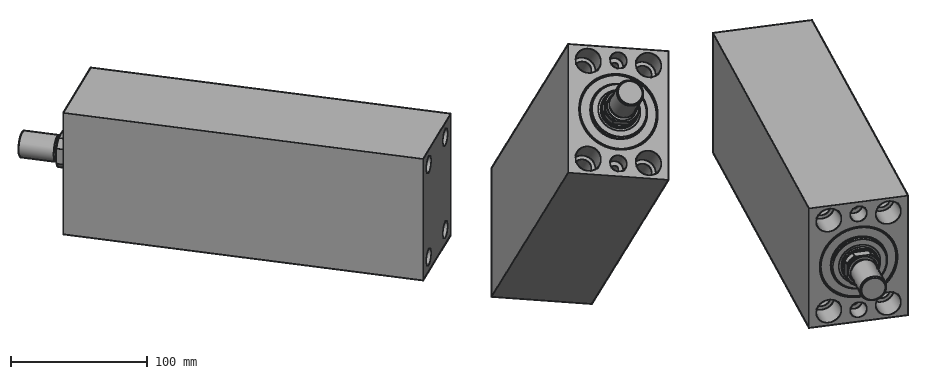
import cadquery as cq


block_length = 273.0
block_width = 75.0
block_height = 100.0

mount_spacing_y = 45.0
mount_spacing_z = 76.0
mount_hole_diameter = 13.0
mount_counterbore_diameter = 19.0
mount_counterbore_depth = 20.0

port_spacing_z = 80.0
port_diameter = 12.5
port_depth = 13.0
port_passage_diameter = 5.5
port_passage_depth = 30.0

gland_diameter = 57.0
gland_depth = 40.0
seat_chamfer = 1.0
boss_diameter = 42.5
boss_height = 3.0
boss_chamfer = 1.0

wiper_diameter = 31.5
wiper_length = 5.0

rod_diameter = 28.0
rod_edge_chamfer = 0.5
rod_shoulder_height = 6.25
flats_diameter = rod_diameter - 2 * rod_edge_chamfer
flats_width = 24.0
flats_corner_chamfer = 0.3
flats_corner_chamfer_radial = 0.75
flats_length = 6.25
neck_recess_diameter = 22.0
neck_recess_depth = 0.5
neck_diameter = 17.0
neck_length = 1.5
stud_diameter = 20.0
stud_length = 28.0
stud_tip_chamfer = 0.7
stud_tip_chamfer_radial = 1.0
stud_root_chamfer = 1.0


def cylinder(diameter, start, end):
    """Cylinder on the rod axis between two X positions."""
    return cq.Workplane("YZ", origin=(start, 0, 0)).circle(diameter / 2).extrude(end - start)


def front_holes(points, diameter, depth):
    """Cylinders that run from the block's front face into it, at (y, z) points."""
    return cq.Workplane("YZ").pushPoints(points).circle(diameter / 2).extrude(depth)


def make_block():
    mount_points = [
        (side_y * mount_spacing_y / 2, side_z * mount_spacing_z / 2)
        for side_y in (-1, 1)
        for side_z in (-1, 1)
    ]
    port_points = [(0, side_z * port_spacing_z / 2) for side_z in (-1, 1)]

    block = cq.Workplane("YZ").rect(block_width, block_height).extrude(block_length)

    block = block.cut(cylinder(gland_diameter, 0, gland_depth))
    mouth = cq.selectors.RadiusNthSelector(-1)
    block = block.faces("<X").edges(mouth).chamfer(seat_chamfer)

    block = block.cut(front_holes(mount_points, mount_hole_diameter, block_length))
    block = block.cut(front_holes(mount_points, mount_counterbore_diameter, mount_counterbore_depth))

    block = block.cut(front_holes(port_points, port_diameter, port_depth))
    return block.cut(front_holes(port_points, port_passage_diameter, port_passage_depth))


def make_gland():
    boss = cylinder(boss_diameter, -boss_height, 0).faces("<X").chamfer(boss_chamfer)
    gland = cylinder(gland_diameter, 0, gland_depth).union(boss)
    gland = gland.cut(cylinder(rod_diameter, -boss_height, gland_depth))
    return gland.cut(cylinder(wiper_diameter, -boss_height, wiper_length - boss_height))


def make_wiper():
    wiper_end = wiper_length - boss_height
    wiper = cylinder(wiper_diameter, -boss_height, wiper_end)
    return wiper.cut(cylinder(rod_diameter, -boss_height, wiper_end))


def make_rod():
    shoulder = -rod_shoulder_height
    flats_end = shoulder - flats_length
    stud_root = flats_end - neck_length
    stud_tip = stud_root - stud_length

    rod = cylinder(rod_diameter, shoulder, gland_depth).faces("<X").chamfer(rod_edge_chamfer)

    square = cq.Workplane("YZ", origin=(flats_end, 0, 0)).rect(flats_width, flats_width)
    shank = cylinder(flats_diameter, flats_end, shoulder)
    shank = shank.faces("<X").edges().chamfer(flats_corner_chamfer, flats_corner_chamfer_radial)
    flats = shank.intersect(square.extrude(flats_length))
    flats = flats.cut(cylinder(neck_recess_diameter, flats_end, flats_end + neck_recess_depth))

    neck = cylinder(neck_diameter, stud_root, flats_end + neck_recess_depth)
    stud = cylinder(stud_diameter, stud_tip, stud_root)
    stud = stud.faces("<X").edges().chamfer(stud_tip_chamfer, stud_tip_chamfer_radial)
    stud = stud.faces(">X").edges().chamfer(stud_root_chamfer)
    return rod.union(flats).union(neck).union(stud)


block = make_block()
gland = make_gland()
wiper = make_wiper()
rod = make_rod()

result = cq.Compound.makeCompound([block.val(), gland.val(), wiper.val(), rod.val()])